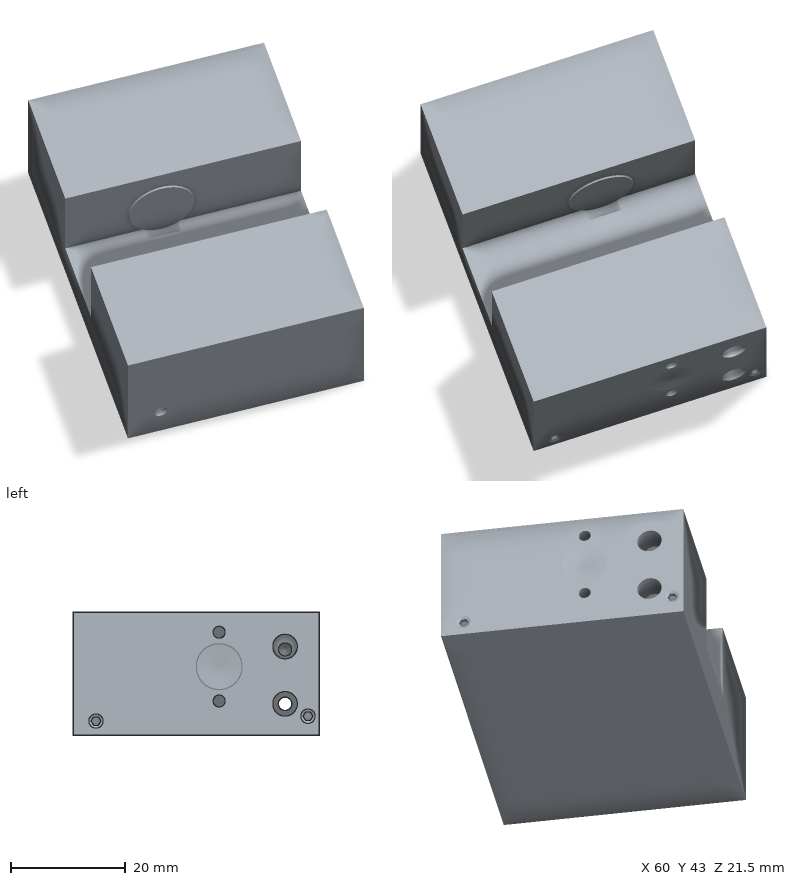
import cadquery as cq
import math

length = 60.0
depth = 43.0
height = 21.5

channel_width = 15.5
channel_floor = 6.8
left_wall = (length - channel_width) / 2
right_wall = left_wall + channel_width

axis_y = 17.5
axis_z = 12.0

window_diameter = 12.0
clearance_length = 2.2
window_proud = 0.3
window_face_diameter = 11.8

dimple_diameter = 8.0
dimple_depth = 0.3

pin_hole_diameter = 2.1
pin_hole_depth = 5.0
pin_hole_offset = 6.0

port_y = 6.0
port_diameter = 2.3
counterbore_diameter = 4.3
counterbore_depth = 5.0
upper_counterbore_z = 15.5
upper_port_z = 15.0
lower_port_z = 5.5
upper_port_depth = 12.0
drill_point_angle = 118.0

socket_positions = [(39.0, 2.5), (2.0, 3.35)]
socket_width = 1.5
socket_mouth_diameter = 2.5
socket_depth = 1.0
socket_mouth_depth = 0.25


def rod(x, y, z, diameter, rod_length):
    """Cylinder running in +X from the given centre point."""
    return cq.Workplane(
        cq.Solid.makeCylinder(diameter / 2, rod_length, cq.Vector(x, y, z), cq.Vector(1, 0, 0))
    )


def taper(x, y, z, start_diameter, end_diameter, taper_length):
    """Cone or truncated cone running in +X from the given centre point."""
    return cq.Workplane(
        cq.Solid.makeCone(
            start_diameter / 2, end_diameter / 2, taper_length, cq.Vector(x, y, z), cq.Vector(1, 0, 0)
        )
    )


def make_block():
    block = cq.Workplane().box(length, depth, height, centered=False)
    channel = (
        cq.Workplane()
        .box(channel_width, depth, height - channel_floor, centered=False)
        .translate((left_wall, 0, channel_floor))
    )
    return block.cut(channel)


def add_windows(body):
    """Cut the floor clearance at each wall, then add the discs that partly fill it."""
    for start in (left_wall, right_wall - clearance_length):
        body = body.cut(rod(start, axis_y, axis_z, window_diameter, clearance_length))
    left_window = taper(left_wall, axis_y, axis_z, window_diameter, window_face_diameter, window_proud)
    right_window = left_window.mirror("YZ", (length / 2, 0, 0))
    return body.union(left_window).union(right_window)


def cut_dimple_and_pin_holes(body):
    body = body.cut(taper(0, axis_y, axis_z, dimple_diameter, 0, dimple_depth))
    for offset in (-pin_hole_offset, pin_hole_offset):
        body = body.cut(rod(0, axis_y, axis_z + offset, pin_hole_diameter, pin_hole_depth))
    return body


def cut_ports(body):
    """The upper port is a blind drilled hole; the lower one runs right through under the channel."""
    for z in (upper_counterbore_z, lower_port_z):
        body = body.cut(rod(0, port_y, z, counterbore_diameter, counterbore_depth))
    body = body.cut(rod(0, port_y, lower_port_z, port_diameter, length))
    point_length = port_diameter / 2 / math.tan(math.radians(drill_point_angle / 2))
    body = body.cut(rod(0, port_y, upper_port_z, port_diameter, upper_port_depth))
    return body.cut(taper(upper_port_depth, port_y, upper_port_z, port_diameter, 0, point_length))


def cut_sockets(body):
    corner_diameter = socket_width / math.cos(math.pi / 6)
    for y, z in socket_positions:
        hexagon = (
            cq.Workplane("YZ").center(y, z).polygon(6, corner_diameter).extrude(socket_depth)
        )
        mouth = taper(0, y, z, socket_mouth_diameter, socket_width, socket_mouth_depth)
        body = body.cut(hexagon).cut(mouth)
    return body


result = make_block()
result = add_windows(result)
result = cut_dimple_and_pin_holes(result)
result = cut_ports(result)
result = cut_sockets(result)